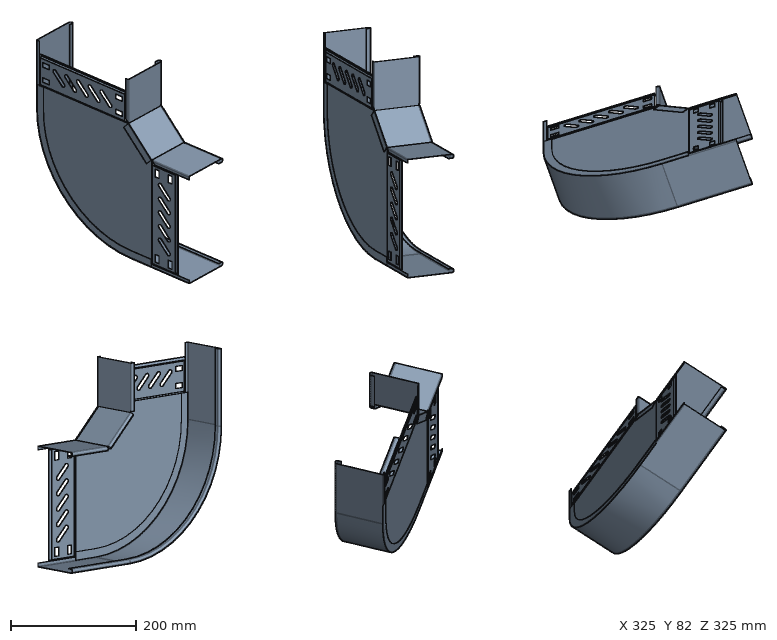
import cadquery as cq
import math


OUTER_SIDE = 325.0
DEPTH = 82.0
SHEET = 1.0
TRAY_WIDTH = 196.3
ARM_LENGTH = 80.0
BEND_RADIUS = 200.0

FOLD_RADIUS = 1.3
WIDE_FLANGE = 15.0
NARROW_FLANGE = 6.5
HEM_WIDTH = 7.5
HEM_RETURN = 9.8
CORNER_RELIEF = 2.0

STRIP_EDGE_GAP = 8.0
STRIP_WIDTH = 179.5
BASE_END = 244.0
STEP_END = 246.5
BEAD_START = 295.5
BEAD_AXIS_Z = 297.7
BEAD_DEPTH = 2.5
BEAD_RADIUS = 4.5
BEAD_ANGLE = 60

BOLT_SLOT_LENGTH = 14.0
BOLT_SLOT_HEIGHT = 8.0
BOLT_SLOT_PITCH_ACROSS = 155.7
BOLT_SLOT_PITCH_ALONG = 27.5
BOLT_SLOT_MIDDLE = 270.7
DIAGONAL_SLOT_COUNT = 5
DIAGONAL_SLOT_PITCH = 25.0
DIAGONAL_SLOT_LENGTH = 32.5
DIAGONAL_SLOT_WIDTH = 7.0
DIAGONAL_SLOT_MIDDLE = 272.5

CORNER = OUTER_SIDE - ARM_LENGTH
HEM_RADIUS = HEM_WIDTH / 2
HEM_START = DEPTH - HEM_RADIUS
DIAGONAL_WALL_LENGTH = (CORNER - TRAY_WIDTH) * math.sqrt(2)
DIAGONAL_EDGE_SUM = TRAY_WIDTH + CORNER - FOLD_RADIUS * math.sqrt(2)
STRIP_CENTRE = STRIP_EDGE_GAP + STRIP_WIDTH / 2
MIRROR_NORMAL = cq.Vector(1, 0, -1)
SQRT_HALF = math.sqrt(0.5)


def with_mirror_image(body):
    """Join a body with its mirror image about the plane X = Z."""
    return body.union(body.mirror(MIRROR_NORMAL))



def flange_section(plane, width):
    """Bottom fold with its flange."""
    mid_arc = FOLD_RADIUS * (1 - SQRT_HALF)
    inner_radius = FOLD_RADIUS - SHEET
    inner_mid = FOLD_RADIUS - inner_radius * SQRT_HALF
    return (
        cq.Workplane(plane)
        .moveTo(0, FOLD_RADIUS)
        .threePointArc((mid_arc, mid_arc), (FOLD_RADIUS, 0))
        .lineTo(width, 0)
        .lineTo(width, SHEET)
        .lineTo(FOLD_RADIUS, SHEET)
        .threePointArc((inner_mid, inner_mid), (SHEET, FOLD_RADIUS))
        .close()
    )


def web_section(plane):
    """Upright part of the wall between its two folds."""
    return (
        cq.Workplane(plane)
        .moveTo(0, FOLD_RADIUS)
        .lineTo(SHEET, FOLD_RADIUS)
        .lineTo(SHEET, HEM_START)
        .lineTo(0, HEM_START)
        .close()
    )


def hem_section(plane):
    """Half-round rim with its inner leg turned back down."""
    leg_end = DEPTH - HEM_RETURN
    return (
        cq.Workplane(plane)
        .moveTo(0, HEM_START)
        .threePointArc((HEM_RADIUS, DEPTH), (HEM_WIDTH, HEM_START))
        .lineTo(HEM_WIDTH, leg_end)
        .lineTo(HEM_WIDTH - SHEET, leg_end)
        .lineTo(HEM_WIDTH - SHEET, HEM_START)
        .threePointArc((HEM_RADIUS, DEPTH - SHEET), (SHEET, HEM_START))
        .close()
    )



def make_outer_wall():
    """Two straight arms joined by a quarter-round wall."""
    bend_start = cq.Plane(origin=(0, 0, BEND_RADIUS), xDir=(1, 0, 0), normal=(0, 0, 1))
    narrow_start = cq.Plane(origin=(0, 0, BASE_END), xDir=(1, 0, 0), normal=(0, 0, 1))
    straight = OUTER_SIDE - BEND_RADIUS
    arm = (
        web_section(bend_start).extrude(straight)
        .union(hem_section(bend_start).extrude(straight))
        .union(flange_section(bend_start, WIDE_FLANGE).extrude(BASE_END - BEND_RADIUS))
        .union(flange_section(narrow_start, NARROW_FLANGE).extrude(OUTER_SIDE - BASE_END))
    )
    wall = with_mirror_image(arm)
    bend_sections = [
        flange_section(bend_start, WIDE_FLANGE),
        web_section(bend_start),
        hem_section(bend_start),
    ]
    for section in bend_sections:
        wall = wall.union(section.revolve(90, (BEND_RADIUS, 3.2, 0), (BEND_RADIUS, 0, 0)))
    return wall



def make_inner_web():
    """Upright sheet that runs down one arm, across the corner and along the other arm."""
    inner_face = TRAY_WIDTH - SHEET
    mitre = SHEET * math.tan(math.radians(22.5))
    points = [
        (TRAY_WIDTH, OUTER_SIDE),
        (TRAY_WIDTH, CORNER),
        (CORNER, TRAY_WIDTH),
        (OUTER_SIDE, TRAY_WIDTH),
        (OUTER_SIDE, inner_face),
        (CORNER - mitre, inner_face),
        (inner_face, CORNER - mitre),
        (inner_face, OUTER_SIDE),
    ]
    return (
        cq.Workplane("XZ", origin=(0, FOLD_RADIUS, 0))
        .polyline(points).close()
        .extrude(FOLD_RADIUS - HEM_START)
    )


def make_inner_arm_folds():
    """Rim and clipped narrow flange of the upper arm."""
    arm_end = cq.Plane(origin=(TRAY_WIDTH, 0, OUTER_SIDE), xDir=(-1, 0, 0), normal=(0, 0, -1))
    length = ARM_LENGTH - CORNER_RELIEF
    flange_clip = (
        cq.Workplane("XZ")
        .polyline([
            (TRAY_WIDTH, CORNER),
            (TRAY_WIDTH - NARROW_FLANGE, CORNER + NARROW_FLANGE),
            (TRAY_WIDTH - NARROW_FLANGE, CORNER),
        ])
        .close()
        .extrude(-FOLD_RADIUS)
    )
    flange = flange_section(arm_end, NARROW_FLANGE).extrude(length).cut(flange_clip)
    return flange.union(hem_section(arm_end).extrude(length))


def make_inner_wall():
    """Two arms joined by a diagonal wall, with the folds left open at the corners."""
    diagonal_start = cq.Plane(
        origin=(TRAY_WIDTH, 0, CORNER), xDir=(-1, 0, -1), normal=(1, 0, -1)
    )
    return (
        make_inner_web()
        .union(with_mirror_image(make_inner_arm_folds()))
        .union(flange_section(diagonal_start, WIDE_FLANGE).extrude(DIAGONAL_WALL_LENGTH))
        .union(hem_section(diagonal_start).extrude(DIAGONAL_WALL_LENGTH))
    )



def make_floor():
    """Flat floor that lies on the wide flanges."""
    edge = FOLD_RADIUS
    arc_middle = BEND_RADIUS - (BEND_RADIUS - edge) * SQRT_HALF
    diagonal_end = DIAGONAL_EDGE_SUM - BASE_END
    return (
        cq.Workplane("XZ", origin=(0, SHEET, 0))
        .moveTo(edge, BASE_END)
        .lineTo(edge, BEND_RADIUS)
        .threePointArc((arc_middle, arc_middle), (BEND_RADIUS, edge))
        .lineTo(BASE_END, edge)
        .lineTo(BASE_END, diagonal_end)
        .lineTo(diagonal_end, BASE_END)
        .close()
        .extrude(-SHEET)
    )


def make_step():
    """Slope from the floor out to the upper strip, ending on the line of the diagonal edge."""
    right_end = DIAGONAL_EDGE_SUM - BASE_END
    slope = (
        cq.Workplane("YZ", origin=(STRIP_EDGE_GAP, 0, 0))
        .polyline([(SHEET, BASE_END), (0, STEP_END), (SHEET, STEP_END), (2 * SHEET, BASE_END)])
        .close()
        .extrude(right_end - STRIP_EDGE_GAP)
    )
    corner_clip = (
        cq.Workplane("XZ")
        .polyline([
            (right_end, BASE_END),
            (DIAGONAL_EDGE_SUM - STEP_END, STEP_END),
            (right_end, STEP_END),
        ])
        .close()
        .extrude(-2 * SHEET)
    )
    return slope.cut(corner_clip)


def make_joint_strip():
    """Upper slotted strip, with a bead along its free end."""
    bead_axis_y = BEAD_DEPTH - BEAD_RADIUS
    bead_back_radius = BEAD_RADIUS + SHEET

    def bead_point(radius, angle):
        """Point of the bead profile at an angle from its deepest line."""
        turn = math.radians(angle)
        return (bead_axis_y + radius * math.cos(turn), BEAD_AXIS_Z + radius * math.sin(turn))

    strip = (
        cq.Workplane("YZ", origin=(STRIP_EDGE_GAP, 0, 0))
        .moveTo(0, STEP_END)
        .lineTo(0, BEAD_START)
        .lineTo(*bead_point(BEAD_RADIUS, 0))
        .threePointArc(bead_point(BEAD_RADIUS, BEAD_ANGLE / 2), bead_point(BEAD_RADIUS, BEAD_ANGLE))
        .lineTo(*bead_point(bead_back_radius, BEAD_ANGLE))
        .threePointArc(bead_point(bead_back_radius, BEAD_ANGLE / 2), bead_point(bead_back_radius, 0))
        .lineTo(SHEET, BEAD_START)
        .lineTo(SHEET, STEP_END)
        .close()
        .extrude(STRIP_WIDTH)
    )
    bolt_slots = (
        cq.Workplane("XZ", origin=(STRIP_CENTRE, 0, BOLT_SLOT_MIDDLE))
        .rarray(BOLT_SLOT_PITCH_ACROSS, BOLT_SLOT_PITCH_ALONG, 2, 2)
        .rect(BOLT_SLOT_LENGTH, BOLT_SLOT_HEIGHT)
        .extrude(-SHEET)
    )
    diagonal_slots = (
        cq.Workplane("XZ", origin=(STRIP_CENTRE, 0, DIAGONAL_SLOT_MIDDLE))
        .rarray(DIAGONAL_SLOT_PITCH, 3.2, DIAGONAL_SLOT_COUNT, 1)
        .slot2D(DIAGONAL_SLOT_LENGTH, DIAGONAL_SLOT_WIDTH, -45)
        .extrude(-SHEET)
    )
    return strip.cut(bolt_slots).cut(diagonal_slots)


def make_base_plate():
    """Floor with a stepped joint strip at each open end."""
    end = make_step().union(make_joint_strip())
    return make_floor().union(with_mirror_image(end))


outer_wall = make_outer_wall()
inner_wall = make_inner_wall()
base_plate = make_base_plate()


result = cq.Compound.makeCompound([
    outer_wall.solids().val(),
    inner_wall.solids().val(),
    base_plate.solids().val(),
])